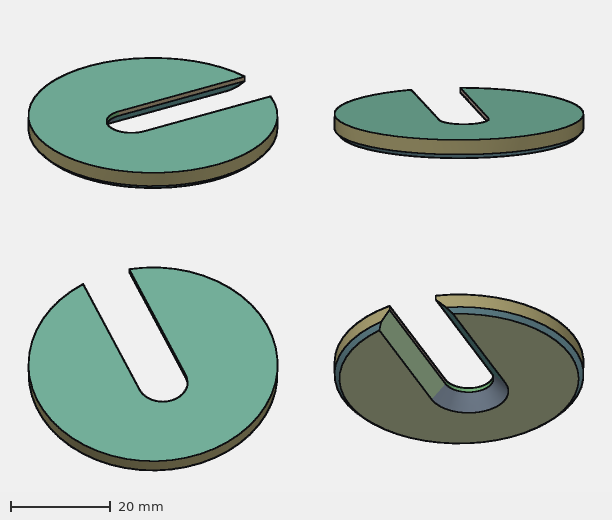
import cadquery as cq

diameter = 50.0
thickness = 4.0
rim_chamfer = 1.0

slot_width = 10.0
slot_end_y = -5.0
slot_land = 1.0

radius = diameter / 2
slot_radius = slot_width / 2
flare = thickness - slot_land
flare_radius = slot_radius + flare
slot_length = diameter


def make_disc():
    return cq.Workplane("XY").circle(radius).extrude(thickness).faces("<Z").chamfer(rim_chamfer)


def make_slot_cutter():
    """Slot section swept along +Y, closed by half of the same section revolved."""
    half_section = [
        (0, 0),
        (flare_radius, 0),
        (slot_radius, flare),
        (slot_radius, thickness),
        (0, thickness),
    ]
    mirrored_half = [(-x, z) for x, z in reversed(half_section[1:-1])]
    full_section = half_section[1:-1] + mirrored_half

    run = cq.Workplane("XZ").polyline(full_section).close().extrude(-slot_length)
    rounded_end = cq.Workplane("XZ").polyline(half_section).close().revolve(360, (0, 0), (0, 1))
    return run.union(rounded_end).translate((0, slot_end_y, 0))


result = make_disc().cut(make_slot_cutter())